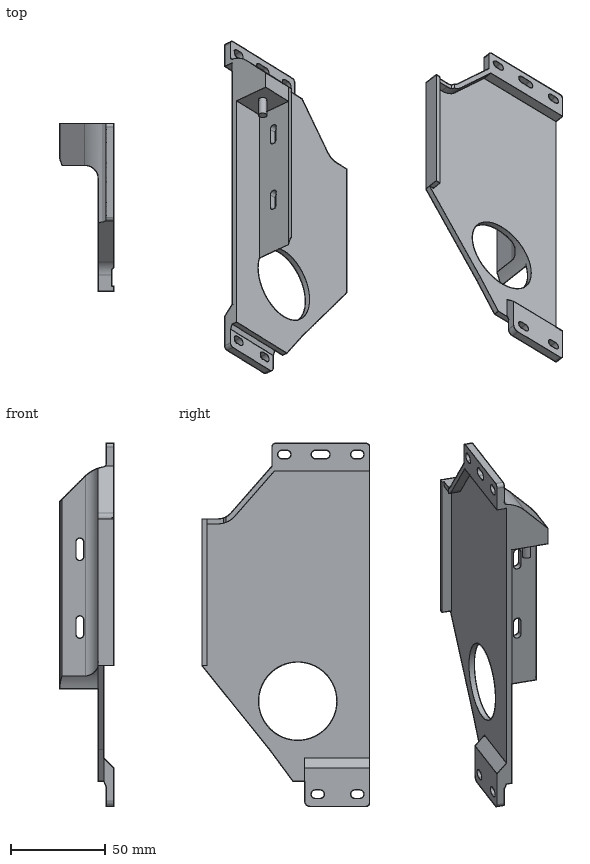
import cadquery as cq
import math

DEPTH = 29.0
WIDTH = 89.2
HEIGHT = 193.0

plate_front = 20.5
plate_thickness = 3.0
plate_back = plate_front + plate_thickness
rim_thickness = 2.7
plate_bottom = 13.3
plate_bottom_width = 40.7
kink_width = 53.3
kink_z = 30.3
side_bottom_z = 75.0
side_top_z = 153.0
slope_end_width = 76.5
slope_end_radius = 9.0
hole_diameter = 41.5
hole_y = -38.2
hole_z = 56.0
notch_depth = 1.2
notch_slope_length = 1.2

flange_thickness = 4.2
flange_front = DEPTH - flange_thickness
flange_base_radius = 1.5
top_surface_drop = 0.4
bottom_root_drop = 2.7
top_flange_width = 52.0
top_flange_root = 181.0
bottom_flange_width = 34.5
small_corner_radius = 2.0
large_corner_radius = 2.9
gusset_top = 25.9
slot_width = 4.5
short_slot = 7.0
long_slot = 9.8
slot_edge_offset = 6.5
top_slot_z = HEIGHT - 6.0
bottom_slot_z = 6.5
top_slots = [(slot_edge_offset, short_slot), (26.0, long_slot), (45.4, short_slot)]
bottom_slots = [(slot_edge_offset, short_slot), (27.6, short_slot)]

arm_width = 22.4
arm_wall = 3.9
arm_chamfer = 1.4
arm_root_radius = 6.8
head_underside = 153.0
head_lip_top = 162.0
head_slope_end = 13.3
wall_slot_x = 10.8
wall_slot_width = 4.0
wall_slot_length = 11.8
wall_slot_heights = (95.4, 136.7)

pin_diameter = 4.5
pin_length = 9.8
pin_x = 9.3
pin_y = -8.3


def box(x0, x1, y0, y1, z0, z1):
    return cq.Workplane("XY").box(x1 - x0, y1 - y0, z1 - z0, centered=False).translate((x0, y0, z0))


def slope_edge(inset):
    """Top, sloping and side edges of the plate, moved inwards by the inset, as (y, z) points."""
    angle = math.atan2(top_flange_root - side_top_z, slope_end_width - top_flange_width)
    shift = inset * math.tan(angle / 2)
    return [
        (0, top_flange_root - inset),
        (-top_flange_width + shift, top_flange_root - inset),
        (-slope_end_width + shift, side_top_z - inset),
        (-WIDTH + inset, side_top_z - inset),
        (-WIDTH + inset, side_bottom_z),
    ]


def plate_layer(points, x_start, x_end, inset):
    """Extrude a plate outline along X and round the inner corner at the end of its slope."""
    layer = cq.Workplane("YZ").polyline(points).close().extrude(x_end - x_start)
    margin = rim_thickness / 2
    corner_y, corner_z = slope_edge(inset)[2]
    corner = cq.selectors.BoxSelector(
        (-DEPTH, corner_y - margin, corner_z - margin), (DEPTH, corner_y + margin, corner_z + margin)
    )
    layer = layer.edges("|X").edges(corner).fillet(slope_end_radius + inset)
    return layer.translate((x_start, 0, 0))


def make_plate():
    outline = slope_edge(0) + [
        (-kink_width, kink_z),
        (-plate_bottom_width, plate_bottom),
        (0, plate_bottom),
    ]
    plate = plate_layer(outline, plate_front, DEPTH, 0)
    hollow = slope_edge(rim_thickness) + [(-WIDTH, side_bottom_z), (-WIDTH, 0), (0, 0)]
    plate = plate.cut(plate_layer(hollow, plate_back, DEPTH, rim_thickness))
    notch_front = DEPTH - notch_depth
    notch_start = -slope_end_width - notch_slope_length
    notch = (
        cq.Workplane("XY")
        .moveTo(DEPTH, -slope_end_width)
        .lineTo(notch_front, notch_start)
        .lineTo(notch_front, -WIDTH + rim_thickness)
        .lineTo(DEPTH, -WIDTH + rim_thickness)
        .close()
        .extrude(HEIGHT)
    )
    return plate.cut(notch)


def make_arm():
    """Full-height arm, hollow under the head and open towards -X and +Y."""
    arc_offset = arm_root_radius * (1 - math.sqrt(0.5))
    arm = (
        cq.Workplane("XY", origin=(0, 0, hole_z))
        .lineTo(0, -arm_width + arm_wall)
        .lineTo(arm_chamfer, -arm_width)
        .lineTo(plate_front - arm_root_radius, -arm_width)
        .threePointArc(
            (plate_front - arc_offset, -arm_width - arc_offset),
            (plate_front, -arm_width - arm_root_radius),
        )
        .lineTo(plate_back, -arm_width - arm_root_radius)
        .lineTo(plate_back, 0)
        .close()
        .extrude(top_flange_root - hole_z)
    )
    return arm.cut(box(0, plate_front, -arm_width + arm_wall, 0, hole_z, head_underside))


def make_space_above_head():
    """Region to remove above the sloped and rounded top surface, in front of the top flange."""
    slope_end_z = head_lip_top + head_slope_end
    root_x = flange_front - flange_base_radius
    root_z = top_flange_root - top_surface_drop
    arc_offset = flange_base_radius * math.sqrt(0.5)
    return (
        cq.Workplane("XZ")
        .moveTo(0, head_lip_top)
        .lineTo(head_slope_end, slope_end_z)
        .tangentArcPoint((root_x, root_z), relative=False)
        .threePointArc(
            (root_x + arc_offset, root_z + flange_base_radius - arc_offset),
            (flange_front, root_z + flange_base_radius),
        )
        .lineTo(flange_front, HEIGHT)
        .lineTo(0, HEIGHT)
        .close()
        .extrude(WIDTH)
    )


def make_slots(slots, z):
    """Horizontal slots along Y, each given by its distance from the long edge and its length."""
    cutters = cq.Workplane("YZ")
    for distance, length in slots:
        cutters = cutters.add(
            cq.Workplane("YZ").center(-distance, z).slot2D(length, slot_width).extrude(DEPTH)
        )
    return cutters.combine()


def make_top_flange():
    root_front = flange_front - flange_base_radius
    flange = box(flange_front, DEPTH, -top_flange_width, 0, top_flange_root - rim_thickness, HEIGHT)
    flange = flange.edges("|X and >Z").fillet(small_corner_radius)
    root = box(
        root_front, DEPTH, -top_flange_width, 0,
        top_flange_root - rim_thickness, top_flange_root + flange_base_radius,
    )
    return flange.union(root).cut(make_slots(top_slots, top_slot_z))


def make_bottom_flange():
    """Flange with a gusset that carries it from the rear face of the plate."""
    flange = (
        cq.Workplane("XZ")
        .moveTo(plate_back, gusset_top)
        .lineTo(DEPTH, gusset_top - (DEPTH - plate_back))
        .lineTo(DEPTH, 0)
        .lineTo(flange_front, 0)
        .lineTo(flange_front, plate_bottom - bottom_root_drop)
        .lineTo(plate_back, plate_bottom)
        .close()
        .extrude(bottom_flange_width)
    )
    flange = flange.edges("|X and <Z and <Y").fillet(large_corner_radius)
    flange = flange.edges("|X and <Z and >Y").fillet(small_corner_radius)
    return flange.cut(make_slots(bottom_slots, bottom_slot_z))


def make_housing():
    housing = make_plate().union(make_arm()).union(make_top_flange())
    housing = housing.cut(make_space_above_head()).union(make_bottom_flange())
    round_hole = (
        cq.Workplane("YZ").center(hole_y, hole_z).circle(hole_diameter / 2).extrude(DEPTH)
    )
    housing = housing.cut(round_hole)
    for z in wall_slot_heights:
        wall_slot = (
            cq.Workplane("XZ")
            .center(wall_slot_x, z)
            .slot2D(wall_slot_length, wall_slot_width, 90)
            .extrude(arm_width)
        )
        housing = housing.cut(wall_slot)
    return housing


def make_pin():
    pin = cq.Workplane("XY").circle(pin_diameter / 2).extrude(-pin_length)
    return pin.translate((pin_x, pin_y, head_underside))


housing = make_housing()
pin = make_pin()

result = cq.Compound.makeCompound([housing.val(), pin.val()])